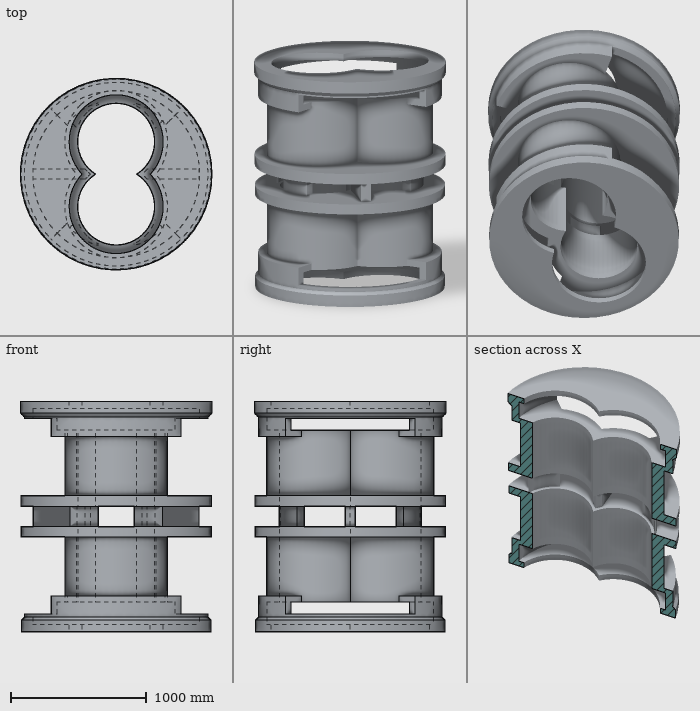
import cadquery as cq
import math

TOTAL_HEIGHT = 1700.0

BARREL_OFFSET = 239.0
BARREL_OUTER_R = 379.0
BARREL_BORE_R = 283.0
END_OPENING_R = 347.0

TOP_RIM_R = 1415.0 / 2
BOTTOM_RIM_R = 1400.0 / 2
COLLAR_R = 1356.0 / 2
COLLAR_BORE_R = 1232.0 / 2
END_PLATE_THICKNESS = 53.0
RIM_HEIGHT = 86.0
TOP_END_HEIGHT = 126.0
BOTTOM_END_HEIGHT = 133.0

BRACKET_HALF_ANGLE = 45.0
BRACKET_FLANGE_THICKNESS = 47.0
BARREL_END_GAP = 86.0

UPPER_PLATE_R = 1410.0 / 2
LOWER_PLATE_R = 1405.0 / 2
LOWER_PLATE_BOTTOM = 700.0
LOWER_PLATE_TOP = 776.0
UPPER_PLATE_BOTTOM = 926.0
UPPER_PLATE_TOP = 1006.0

SPACER_BORE_R = 305.0
WEB_OUTER_R = 613.0
WEB_WIDTH = 74.0
SPACER_ARC_R = 380.0
SPACER_WIDE_END = (341.0, 392.0)
SPACER_NARROW_END = (135.0, 525.0)
SPACER_STOCK_DEPTH = 120.0

LOWER_BARREL_BOTTOM = BOTTOM_END_HEIGHT + BARREL_END_GAP
UPPER_BARREL_TOP = TOTAL_HEIGHT - TOP_END_HEIGHT - BARREL_END_GAP


def disc(radius, bottom, top):
    return cq.Workplane("XY").workplane(offset=bottom).circle(radius).extrude(top - bottom)


def twin_cylinders(radius, bottom, top):
    """Two overlapping cylinders on the barrel axes."""
    pair = disc(radius, bottom, top).translate((0, BARREL_OFFSET, 0))
    return pair.union(disc(radius, bottom, top).translate((0, -BARREL_OFFSET, 0)))


def end_plate(rim_radius, height):
    """End plate standing on Z = 0: rim, 45 degree chamfer, collar, and a recess open upward."""
    chamfer = rim_radius - COLLAR_R
    profile = [
        (0, 0),
        (rim_radius, 0),
        (rim_radius, RIM_HEIGHT),
        (COLLAR_R, RIM_HEIGHT + chamfer),
        (COLLAR_R, height),
        (COLLAR_BORE_R, height),
        (COLLAR_BORE_R, END_PLATE_THICKNESS),
        (0, END_PLATE_THICKNESS),
    ]
    plate = cq.Workplane("XZ").polyline(profile).close().revolve(360, (0, 0, 0), (0, 1, 0))
    return plate.cut(twin_cylinders(END_OPENING_R, 0, END_PLATE_THICKNESS))


def bracket_pair(collar_top):
    """Two ring walls on the +Y and -Y sides, each with an inward flange at its upper end."""
    flange_bottom = collar_top + BARREL_END_GAP
    flange_top = flange_bottom + BRACKET_FLANGE_THICKNESS
    ring = disc(COLLAR_R, collar_top, flange_top)
    ring = ring.cut(disc(COLLAR_BORE_R, collar_top, flange_bottom))
    ring = ring.cut(twin_cylinders(BARREL_BORE_R, flange_bottom, flange_top))

    reach = 2 * COLLAR_R
    half_width = reach * math.tan(math.radians(BRACKET_HALF_ANGLE))
    wedge_points = [(0, 0), (half_width, reach), (-half_width, reach)]
    wedge = (
        cq.Workplane("XY")
        .workplane(offset=collar_top)
        .polyline(wedge_points)
        .close()
        .extrude(flange_top - collar_top)
    )
    back = ring.intersect(wedge)
    return back.union(back.mirror("XZ"))


def end_assembly(rim_radius, height):
    return end_plate(rim_radius, height).union(bracket_pair(height))


def barrel_pair(bottom, top):
    barrels = twin_cylinders(BARREL_OUTER_R, bottom, top)
    return barrels.cut(twin_cylinders(BARREL_BORE_R, bottom, top))


def middle_plate(radius, bottom, top):
    return disc(radius, bottom, top).cut(twin_cylinders(BARREL_BORE_R, bottom, top))


def curved_spacer():
    """Spacer in the +X, +Y quadrant, before the spacer bore is cut away."""
    x_wide, y_wide = SPACER_WIDE_END
    x_narrow, y_narrow = SPACER_NARROW_END
    diagonal_step = SPACER_STOCK_DEPTH / math.sqrt(2)
    inner_scale = 1 - SPACER_STOCK_DEPTH / math.hypot(x_narrow, y_narrow)
    return (
        cq.Workplane("XY")
        .workplane(offset=LOWER_PLATE_TOP)
        .moveTo(x_narrow * inner_scale, y_narrow * inner_scale)
        .lineTo(x_narrow, y_narrow)
        .radiusArc((x_wide, y_wide), SPACER_ARC_R)
        .lineTo(x_wide - diagonal_step, y_wide - diagonal_step)
        .close()
        .extrude(UPPER_PLATE_BOTTOM - LOWER_PLATE_TOP)
    )


def spacers():
    """Straight web along X plus four curved spacers, cleared around both barrel axes."""
    height = UPPER_PLATE_BOTTOM - LOWER_PLATE_TOP
    web = (
        cq.Workplane("XY")
        .workplane(offset=LOWER_PLATE_TOP)
        .rect(2 * WEB_OUTER_R, WEB_WIDTH)
        .extrude(height)
        .intersect(disc(WEB_OUTER_R, LOWER_PLATE_TOP, UPPER_PLATE_BOTTOM))
    )
    right_half = curved_spacer()
    right_half = right_half.union(right_half.mirror("XZ"))
    blocks = web.union(right_half).union(right_half.mirror("YZ"))
    return blocks.cut(twin_cylinders(SPACER_BORE_R, LOWER_PLATE_TOP, UPPER_PLATE_BOTTOM))


bottom_end = end_assembly(BOTTOM_RIM_R, BOTTOM_END_HEIGHT)
top_end = (
    end_assembly(TOP_RIM_R, TOP_END_HEIGHT)
    .mirror("XY")
    .translate((0, 0, TOTAL_HEIGHT))
)

result = (
    bottom_end
    .union(barrel_pair(LOWER_BARREL_BOTTOM, LOWER_PLATE_BOTTOM))
    .union(middle_plate(LOWER_PLATE_R, LOWER_PLATE_BOTTOM, LOWER_PLATE_TOP))
    .union(spacers())
    .union(middle_plate(UPPER_PLATE_R, UPPER_PLATE_BOTTOM, UPPER_PLATE_TOP))
    .union(barrel_pair(UPPER_PLATE_TOP, UPPER_BARREL_TOP))
    .union(top_end)
)